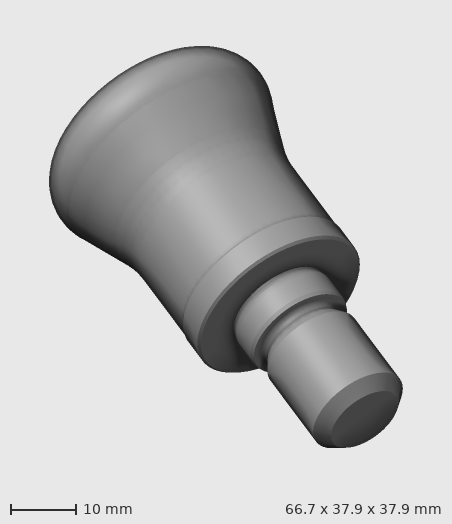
import cadquery as cq
import math


grip_radius = 28.6 / 2
head_radius = 18.95
head_rounding = 6.55
flank_start_x = 9.5
waist_rounding = 15.0
waist_end_x = 23.15
knob_end_x = 36.7
dish_floor_radius = 6.75

collar_radius = 29.0 / 2
collar_start_x = 37.0
collar_end_x = 41.6
collar_chamfer = 0.4
relief_radius = 16.6 / 2
relief_end_x = 42.0
ring_radius = 17.0 / 2
ring_start_x = 42.8
ring_end_x = 47.7
ring_chamfer_length = 0.7
ring_chamfer_depth = 0.2
neck_radius = 13.5 / 2
neck_rounding = 0.95
neck_end_x = 49.1
thread_radius = 16 / 2
thread_start_x = 51.15
tip_chamfer = 2.0
overall_length = 66.7


def turn(profile):
    """Revolve a closed half profile drawn in XY about the X axis."""
    return profile.close().revolve(360, (0, 0, 0), (1, 0, 0))


def make_knob():
    """Round-headed grip with a dished front, narrowing to a cylinder."""
    head_x = head_rounding
    head_y = head_radius - head_rounding
    waist_x = waist_end_x
    waist_y = grip_radius + waist_rounding

    flank_angle = math.acos((flank_start_x - head_x) / head_rounding)
    flank_start_y = head_y + head_rounding * math.sin(flank_angle)
    run = waist_x - flank_start_x
    rise = waist_y - flank_start_y
    flank_normal = math.atan2(rise, run) + math.acos(waist_rounding / math.hypot(run, rise))

    def on_head(angle):
        return (head_x + head_rounding * math.cos(angle), head_y + head_rounding * math.sin(angle))

    def on_waist(angle):
        return (waist_x - waist_rounding * math.cos(angle), waist_y - waist_rounding * math.sin(angle))

    dish_angle = math.pi + math.asin((head_y - dish_floor_radius) / head_rounding)
    dish_edge = on_head(dish_angle)
    waist_middle = (flank_normal + math.pi / 2) / 2

    profile = (
        cq.Workplane("XY")
        .moveTo(dish_edge[0], 0)
        .lineTo(*dish_edge)
        .threePointArc(on_head((dish_angle + flank_angle) / 2), on_head(flank_angle))
        .lineTo(*on_waist(flank_normal))
        .threePointArc(on_waist(waist_middle), (waist_end_x, grip_radius))
        .lineTo(knob_end_x, grip_radius)
        .lineTo(knob_end_x, 0)
    )
    return turn(profile)


def make_stem():
    """Collar, relief, shoulder ring, neck and threaded end in one piece."""
    neck_start_x = ring_end_x + neck_rounding
    neck_arc_middle = (
        neck_start_x - neck_rounding * math.sin(math.pi / 4),
        neck_radius + neck_rounding * (1 - math.cos(math.pi / 4)),
    )
    profile = (
        cq.Workplane("XY")
        .moveTo(knob_end_x, 0)
        .lineTo(knob_end_x, grip_radius)
        .lineTo(collar_start_x, collar_radius)
        .lineTo(collar_end_x - collar_chamfer, collar_radius)
        .lineTo(collar_end_x, collar_radius - collar_chamfer)
        .lineTo(collar_end_x, relief_radius)
        .lineTo(relief_end_x, relief_radius)
        .lineTo(ring_start_x, ring_radius)
        .lineTo(ring_end_x - ring_chamfer_length, ring_radius)
        .lineTo(ring_end_x, ring_radius - ring_chamfer_depth)
        .lineTo(ring_end_x, neck_radius + neck_rounding)
        .threePointArc(neck_arc_middle, (neck_start_x, neck_radius))
        .lineTo(neck_end_x, neck_radius)
        .lineTo(thread_start_x, thread_radius)
        .lineTo(overall_length - tip_chamfer, thread_radius)
        .lineTo(overall_length, thread_radius - tip_chamfer)
        .lineTo(overall_length, 0)
    )
    return turn(profile)


knob = make_knob()
stem = make_stem()

result = cq.Compound.makeCompound([knob.val(), stem.val()])